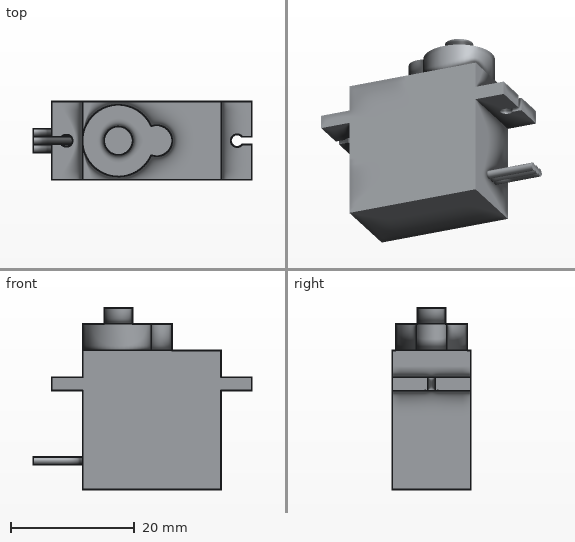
import cadquery as cq

case_length = 22.4
case_width = 12.7
case_height = 22.5

ear_reach = 5.0
ear_bottom = 16.0
ear_thickness = 2.2
screw_hole_diameter = 2.0
screw_hole_inset = 2.4
slot_width = 1.2

housing_diameter = 11.6
housing_height = 4.3
idler_diameter = 5.0
idler_x = 12.0

shaft_diameter = 4.6
shaft_height = 2.6
shaft_x = housing_diameter / 2

wire_count = 3
wire_diameter = 1.3
wire_length = 8.0
wire_root_depth = 1.0
wire_height = 4.65


def upright_cylinder(diameter, height, x, base_z):
    return cq.Workplane("XY", origin=(x, 0, base_z)).circle(diameter / 2).extrude(height)


def make_case():
    return cq.Workplane("XY").box(case_length, case_width, case_height, centered=(False, True, False))


def make_ears():
    """One plate through the case, with a keyhole opening at each end."""
    plate_length = case_length + 2 * ear_reach
    plate = cq.Workplane("XY", origin=(case_length / 2, 0, ear_bottom)).box(
        plate_length, case_width, ear_thickness, centered=(True, True, False)
    )
    for side in (-1, 1):
        end_x = case_length / 2 + side * plate_length / 2
        hole_x = end_x - side * screw_hole_inset
        hole = upright_cylinder(screw_hole_diameter, ear_thickness, hole_x, ear_bottom)
        slot = cq.Workplane("XY", origin=((end_x + hole_x) / 2, 0, ear_bottom)).box(
            screw_hole_inset, slot_width, ear_thickness, centered=(True, True, False)
        )
        plate = plate.cut(hole).cut(slot)
    return plate


def make_gear_housing():
    main = upright_cylinder(housing_diameter, housing_height, shaft_x, case_height)
    idler = upright_cylinder(idler_diameter, housing_height, idler_x, case_height)
    return main.union(idler)


def make_shaft():
    return upright_cylinder(shaft_diameter, shaft_height, shaft_x, case_height + housing_height)


def make_wire(y):
    """One wire leaving the left face of the case, rooted inside it."""
    return (
        cq.Workplane("YZ", origin=(-wire_length, y, wire_height))
        .circle(wire_diameter / 2)
        .extrude(wire_length + wire_root_depth)
    )


result = make_case().union(make_ears()).union(make_gear_housing()).union(make_shaft())

for wire_index in range(wire_count):
    wire_y = (wire_index - (wire_count - 1) / 2) * wire_diameter
    result = result.union(make_wire(wire_y))